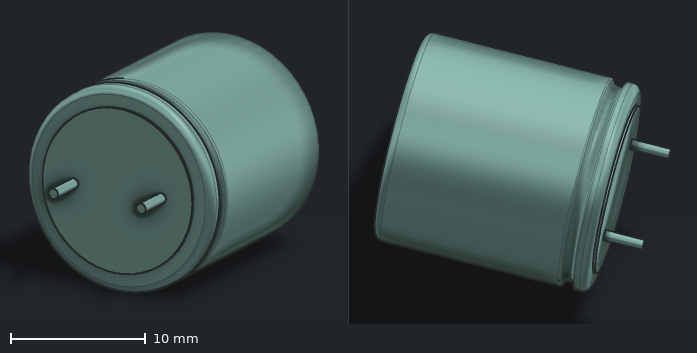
import cadquery as cq


can_diameter = 16.0
can_end_y = 16.7
rim_y = 0.2
end_fillet = 0.6

groove_radius = 0.5
groove_y = 1.85
groove_lip_fillet = 0.15

disc_diameter = 0.8 * can_diameter
lead_diameter = 0.8
lead_pitch = 7.5
lead_length = 3.0
lead_embed = 1.0


def cylinder_along_y(diameter, y_start, y_end, x=0.0):
    """Solid cylinder parallel to Y between two Y positions."""
    sketch = cq.Workplane("XZ", origin=(x, y_end, 0)).circle(diameter / 2)
    return sketch.extrude(y_end - y_start)


def make_can():
    """Revolve the half profile of the can, then round its ends and groove lips."""
    can_radius = can_diameter / 2
    profile = (
        cq.Workplane("XY")
        .moveTo(0, rim_y)
        .lineTo(-can_radius, rim_y)
        .lineTo(-can_radius, groove_y - groove_radius)
        .threePointArc(
            (-can_radius + groove_radius, groove_y),
            (-can_radius, groove_y + groove_radius),
        )
        .lineTo(-can_radius, can_end_y)
        .lineTo(0, can_end_y)
        .close()
    )
    can = profile.revolve(360, (0, 0, 0), (0, 1, 0))
    can = can.faces("<Y or >Y").edges().fillet(end_fillet)

    for lip_y in (groove_y - groove_radius, groove_y + groove_radius):
        lip = cq.selectors.BoxSelector(
            (-can_diameter, lip_y - groove_lip_fillet, -can_diameter),
            (can_diameter, lip_y + groove_lip_fillet, can_diameter),
        )
        can = can.edges("%CIRCLE").edges(lip).fillet(groove_lip_fillet)
    return can


def make_leads():
    """Two round leads, spaced symmetrically along X."""
    leads = cq.Workplane("XY")
    for x in (-lead_pitch / 2, lead_pitch / 2):
        leads = leads.add(cylinder_along_y(lead_diameter, -lead_length, lead_embed, x))
    return leads.combine()


base_disc = cylinder_along_y(disc_diameter, 0.0, rim_y)

result = make_can().union(base_disc).union(make_leads())